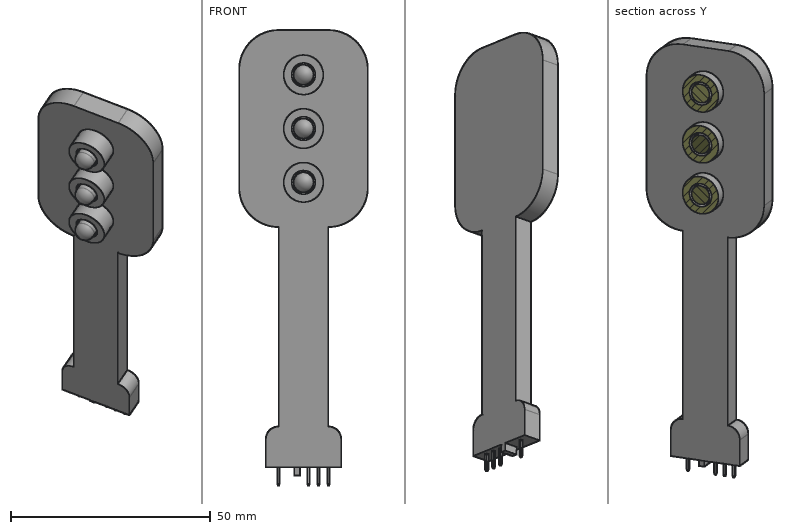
import cadquery as cq
total_height = 114.3
thickness = 5.3

panel_width = 32.3
panel_height = 49.5
panel_radius = 10.0

foot_width = 19.0
foot_height = 10.3

pin_side = 0.64
pin_length = 4.6
pin_tip_inset = 0.17
pin_tip_height = 0.6
pin_embed = 3.4
pin_pitch = 2.5
pin_places = 6
used_pin_places = [0, 3, 4, 5]
pin_setback = 1.7

key_width = 1.5
key_depth = 3.9
key_drop = 2.1
key_x = -1.6

lamp_count = 3
lamp_pitch = 13.5
lamp_diameter = 5.0
lamp_straight_exposed = 0.8
collar_diameter = 10.0
collar_bore = 6.0
collar_length = 5.0

stem_width = panel_width - 2 * panel_radius
foot_radius = (foot_width - stem_width) / 2
foot_bottom = pin_length
foot_top = foot_bottom + foot_height
panel_bottom = total_height - panel_height
panel_center_z = total_height - panel_height / 2
lamp_heights = [panel_center_z + (i - (lamp_count - 1) / 2) * lamp_pitch for i in range(lamp_count)]
pin_xs = [(place - (pin_places - 1) / 2) * pin_pitch for place in used_pin_places]
front_face = cq.Plane(origin=(0, -thickness, 0), xDir=(1, 0, 0), normal=(0, -1, 0))


def make_plate(width, bottom, top):
    """Upright slab centred on X = 0, with its back face on Y = 0."""
    return cq.Workplane("XY").box(width, thickness, top - bottom, centered=(True, False, False)).translate(
        (0, -thickness, bottom)
    )


def make_pin(x):
    """Square pin, pressed into the foot, with a tapered lower tip."""
    straight = cq.Workplane("XY").box(
        pin_side, pin_side, pin_length + pin_embed, centered=(True, True, False)
    )
    pin = straight.faces("<Z").edges().chamfer(pin_tip_height, pin_tip_inset)
    return pin.translate((x, -pin_setback, 0))


def make_lamp(z):
    """Round lamp standing on the panel's front face, ending in a hemisphere."""
    radius = lamp_diameter / 2
    straight_length = collar_length + lamp_straight_exposed
    profile = (
        cq.Workplane("XY")
        .lineTo(radius, 0)
        .lineTo(radius, straight_length)
        .radiusArc((0, straight_length + radius), -radius)
        .close()
    )
    lamp = profile.revolve(360, (0, 0), (0, 1))
    return lamp.rotate((0, 0, 0), (0, 0, 1), 180).translate((0, -thickness, z))


def make_housing(pins):
    """Panel, stem, foot, key and lamp collars in one piece, with sockets for the pins."""
    panel = make_plate(panel_width, panel_bottom, total_height).edges("|Y").fillet(panel_radius)
    stem = make_plate(stem_width, foot_top, panel_bottom)
    foot = make_plate(foot_width, foot_bottom, foot_top).edges("|Y and >Z").fillet(foot_radius)
    key = cq.Workplane("XY").box(key_width, key_depth, key_drop, centered=(True, False, False)).translate(
        (key_x, -key_depth, foot_bottom - key_drop)
    )
    collars = (
        cq.Workplane(front_face)
        .pushPoints([(0, z) for z in lamp_heights])
        .circle(collar_diameter / 2)
        .circle(collar_bore / 2)
        .extrude(collar_length)
    )
    housing = panel.union(stem).union(foot).union(key).union(collars)
    for pin in pins:
        housing = housing.cut(pin)
    return housing


pins = [make_pin(x) for x in pin_xs]
lamps = [make_lamp(z) for z in lamp_heights]
housing = make_housing(pins)

result = cq.Compound.makeCompound(
    [housing.val(), *[lamp.val() for lamp in lamps], *[pin.val() for pin in pins]]
)